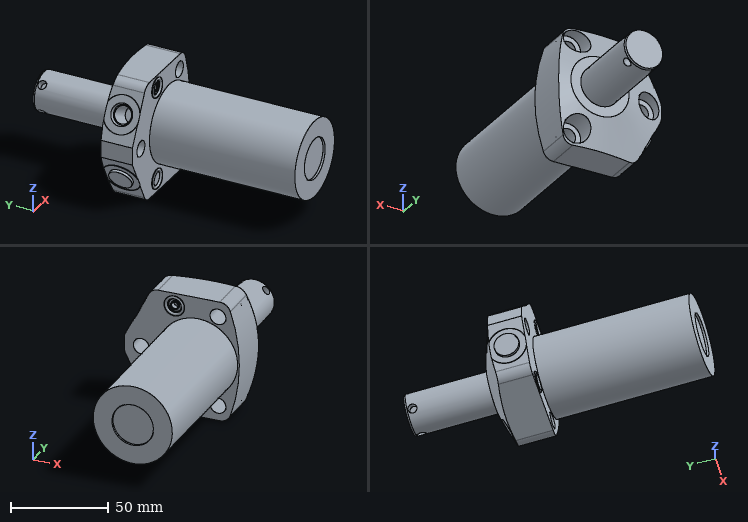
import cadquery as cq
import math

body_diameter = 44.4
body_length = 84.0
rod_diameter = 22.7
rod_length = 46.3
flange_thickness = 27.0
rod_end_chamfer_radial = 0.5
rod_end_chamfer_axial = 1.1
end_recess_diameter = 23.1
end_recess_depth = 1.3

flange_height = 68.3
left_reach = 41.2
right_reach = 23.1
left_flat_height = 9.9
slant_angle = 62.5
right_arc_radius = 91.3
corner_radius = 6.3

front_flat_radius = 17.2
cone_slope = 0.36
cone_outer_radius = 55.0

mount_points = [(-31.8, 0), (11.2, 25.5), (11.2, -25.5)]
mount_diameter = 8.8
mount_counterbore_diameter = 14.8
mount_seat_y = 13.5

port_y = 10.0
port_z = 18.5
spotface_diameter = 20.8
spotface_depth = 0.3
port_mouth_diameter = 12.5
port_mouth_end_diameter = 10.9
port_mouth_depth = 2.2
port_bore_diameter = 9.6
port_bore_depth = 15.5
plug_diameter = 13.2
plug_height = 1.3

seal_x = -13.4
seal_z = 26.7
seal_seat_diameter = 11.3
seal_section_diameter = 1.7
seal_protrusion = 0.5
valve_groove_outer_diameter = 7.2
valve_groove_inner_diameter = 4.7
valve_groove_depth = 0.8
valve_bore_diameter = 3.6
valve_bore_depth = 3.1

spanner_hole_count = 4
spanner_hole_diameter = 4.7
spanner_hole_depth = 5.0
spanner_hole_setback = 4.0

half_height = flange_height / 2
left_flat_half = left_flat_height / 2
slant_slope = math.tan(math.radians(slant_angle))
top_left_x = -left_reach + (half_height - left_flat_half) / slant_slope
arc_center_x = right_reach - right_arc_radius
top_right_x = arc_center_x + math.sqrt(right_arc_radius**2 - half_height**2)


def cylinder_y(diameter, y_start, y_end, x=0, z=0):
    """Cylinder parallel to Y between two Y positions."""
    return cq.Workplane(
        cq.Solid.makeCylinder(
            diameter / 2, y_end - y_start, cq.Vector(x, y_start, z), cq.Vector(0, 1, 0)
        )
    )


def make_flange():
    prism = (
        cq.Workplane("XZ")
        .moveTo(-left_reach, -left_flat_half)
        .lineTo(-left_reach, left_flat_half)
        .lineTo(top_left_x, half_height)
        .lineTo(top_right_x, half_height)
        .threePointArc((right_reach, 0), (top_right_x, -half_height))
        .lineTo(top_left_x, -half_height)
        .close()
        .extrude(-flange_thickness)
    )
    prism = prism.edges("|Y").edges(">Z or <Z").fillet(corner_radius)
    cone_drop = cone_slope * (cone_outer_radius - front_flat_radius)
    envelope = (
        cq.Workplane("XY")
        .lineTo(cone_outer_radius, 0)
        .lineTo(cone_outer_radius, flange_thickness - cone_drop)
        .lineTo(front_flat_radius, flange_thickness)
        .lineTo(0, flange_thickness)
        .close()
        .revolve(360, (0, 0, 0), (0, 1, 0))
    )
    return prism.intersect(envelope)


def make_body():
    body = cylinder_y(body_diameter, -body_length, 0)
    recess = cylinder_y(end_recess_diameter, -body_length, end_recess_depth - body_length)
    return body.cut(recess)


def make_rod():
    radius = rod_diameter / 2
    rod_end_y = flange_thickness + rod_length
    rod = (
        cq.Workplane("XY")
        .lineTo(radius, 0)
        .lineTo(radius, rod_end_y - rod_end_chamfer_axial)
        .lineTo(radius - rod_end_chamfer_radial, rod_end_y)
        .lineTo(0, rod_end_y)
        .close()
        .revolve(360, (0, 0, 0), (0, 1, 0))
    )
    for i in range(spanner_hole_count):
        angle = math.radians((i + 0.5) * 360 / spanner_hole_count)
        outward = cq.Vector(math.cos(angle), 0, math.sin(angle))
        start = outward * radius + cq.Vector(0, rod_end_y - spanner_hole_setback, 0)
        hole = cq.Solid.makeCylinder(
            spanner_hole_diameter / 2, 2 * spanner_hole_depth,
            start - outward * spanner_hole_depth, outward,
        )
        rod = rod.cut(cq.Workplane(hole))
    return rod


def cut_mounting_holes(part):
    for x, z in mount_points:
        part = part.cut(cylinder_y(mount_diameter, 0, flange_thickness, x, z))
        part = part.cut(
            cylinder_y(mount_counterbore_diameter, mount_seat_y, flange_thickness, x, z)
        )
    return part


def slanted_plane(side):
    """Plane on the upper (side=1) or lower (side=-1) slanted face, facing outward."""
    x = -left_reach + (port_z - left_flat_half) / slant_slope
    tilt = math.radians(slant_angle)
    return cq.Plane(
        origin=(x, port_y, side * port_z),
        xDir=(0, 1, 0),
        normal=(-math.sin(tilt), 0, side * math.cos(tilt)),
    )


def disc_on(plane, diameter, height):
    return cq.Workplane(plane).circle(diameter / 2).extrude(height)


def add_side_ports(part):
    upper = slanted_plane(1)
    lower = slanted_plane(-1)
    for plane in (upper, lower):
        part = part.cut(disc_on(plane, spotface_diameter, -spotface_depth))
    mouth = (
        cq.Workplane(upper)
        .circle(port_mouth_diameter / 2)
        .workplane(offset=-port_mouth_depth)
        .circle(port_mouth_end_diameter / 2)
        .loft()
    )
    part = part.cut(mouth).cut(disc_on(upper, port_bore_diameter, -port_bore_depth))
    plug = disc_on(lower, plug_diameter, plug_height)
    plug_base = disc_on(lower, plug_diameter, -2 * spotface_depth)
    return part.union(plug_base.union(plug))


def add_rear_seals(part):
    section_radius = seal_section_diameter / 2
    ring_y = section_radius - seal_protrusion
    ring_radius = seal_seat_diameter / 2 - section_radius
    seat_depth = ring_y + section_radius / 2
    axis = cq.Vector(0, 1, 0)
    for z in (seal_z, -seal_z):
        part = part.cut(cylinder_y(seal_seat_diameter, 0, seat_depth, seal_x, z))
        ring = cq.Solid.makeTorus(ring_radius, section_radius, cq.Vector(seal_x, ring_y, z), axis)
        part = part.union(cq.Workplane(ring))
    groove_end_y = seat_depth + valve_groove_depth
    groove = cylinder_y(valve_groove_outer_diameter, seat_depth, groove_end_y, seal_x, seal_z).cut(
        cylinder_y(valve_groove_inner_diameter, seat_depth, groove_end_y, seal_x, seal_z)
    )
    bore = cylinder_y(valve_bore_diameter, seat_depth, seat_depth + valve_bore_depth, seal_x, seal_z)
    return part.cut(groove).cut(bore)


flange = cut_mounting_holes(make_flange())
flange = add_side_ports(flange)
flange = add_rear_seals(flange)
result = flange.union(make_body()).union(make_rod())